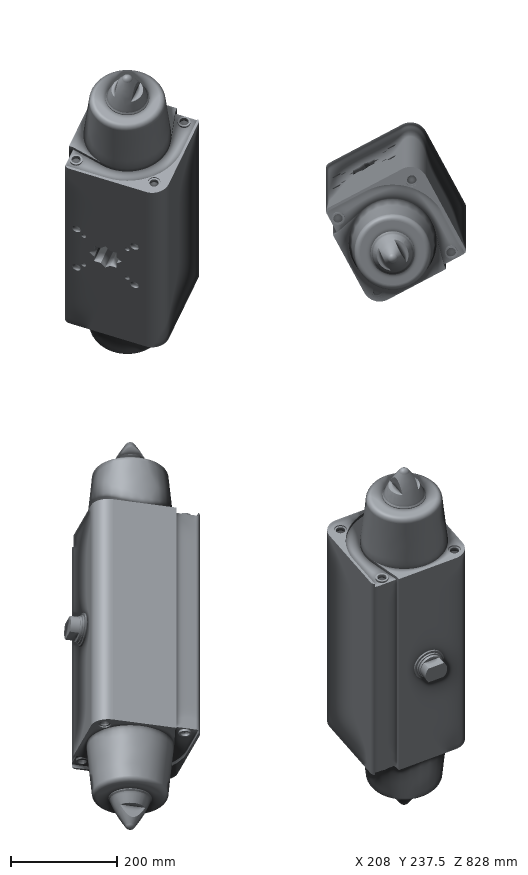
import cadquery as cq
import math


NEAR_SIDE = 93.0
FAR_SIDE = 115.0
HALF_LENGTH = 236.0
LARGE_CORNER = 33.0
SMALL_CORNER = 10.0
STEP_DEPTH = 8.0
STEP_START = 64.5
STEP_SIDE = NEAR_SIDE - STEP_DEPTH

RECESS_DEPTH = 7.0
RECESS_REACH = FAR_SIDE - 5.0

CAP_BASE_RADIUS = 83.0
CAP_TOP_RADIUS = 71.0
CAP_TOP = 349.0
CAP_ROUNDING = 11.0

TIP_END = 414.0
TIP_COLLAR_RADIUS = 41.0
TIP_COLLAR_HEIGHT = 4.0
TIP_COLLAR_CHAMFER = 2.5
TIP_BASE_RADIUS = TIP_COLLAR_RADIUS - TIP_COLLAR_CHAMFER
TIP_MID_RADIUS = 30.0
TIP_LEDGE = 373.5
TIP_DOME_RADIUS = 10.0
TIP_DOME_START = 407.0
TIP_FLAT_HALF_WIDTH = 17.0

SCREW_PITCH = 157.0
SCREW_CENTRE = 9.0
SCREW_HEAD_DIAMETER = 24.0
SCREW_HEAD_SINK = 2.5
SCREW_SOCKET_DIAMETER = 17.0
SCREW_SOCKET_DEPTH = 8.0

LARGE_FLANGE_HOLES = (166.0, 17.0, 25.0)
SMALL_FLANGE_HOLES = (124.0, 10.0, 16.5)
DRILL_POINT_ANGLE = 118

DRIVE_DIAMETER = 92.0
JOURNAL_DIAMETER = 64.0
SHOULDER_Y = 50.0
JOURNAL_END = 96.0
COLLAR_DIAMETER = 55.0
COLLAR_END = 99.0
NECK_DIAMETER = 50.0
NECK_END = 104.0
STUB_DIAMETER = 47.0
STUB_END = 122.5
STUB_FLAT_HALF_WIDTH = 17.0
SOCKET_WIDTH = 45.5
SOCKET_DEPTH = 66.0


def body_block():
    """Extruded block, symmetric about the diagonal plane Y = -X."""
    outline = (
        cq.Workplane("XY")
        .moveTo(-NEAR_SIDE, NEAR_SIDE)
        .lineTo(STEP_START, NEAR_SIDE)
        .lineTo(STEP_START, STEP_SIDE)
        .lineTo(FAR_SIDE, STEP_SIDE)
        .lineTo(FAR_SIDE, -FAR_SIDE)
        .lineTo(-STEP_SIDE, -FAR_SIDE)
        .lineTo(-STEP_SIDE, -STEP_START)
        .lineTo(-NEAR_SIDE, -STEP_START)
        .close()
    )
    block = outline.extrude(HALF_LENGTH, both=True)
    for x, y, radius in (
        (-NEAR_SIDE, NEAR_SIDE, LARGE_CORNER),
        (FAR_SIDE, -FAR_SIDE, LARGE_CORNER),
        (FAR_SIDE, STEP_SIDE, SMALL_CORNER),
        (-STEP_SIDE, -FAR_SIDE, SMALL_CORNER),
    ):
        block = block.edges(cq.selectors.NearestToPointSelector((x, y, 0))).fillet(radius)
    return block


def end_recess():
    """Recess of the +Z end, open to the two stepped sides and bounded inside by the cap seat."""
    floor = HALF_LENGTH - RECESS_DEPTH
    corner = RECESS_REACH * math.sqrt(0.5)
    pocket = (
        cq.Workplane("XY", origin=(0, 0, floor))
        .moveTo(-NEAR_SIDE, STEP_SIDE)
        .lineTo(RECESS_REACH, STEP_SIDE)
        .lineTo(RECESS_REACH, 0)
        .threePointArc((corner, -corner), (0, -RECESS_REACH))
        .lineTo(-NEAR_SIDE, -RECESS_REACH)
        .close()
        .extrude(RECESS_DEPTH)
    )
    step_distance = math.hypot(STEP_START, STEP_SIDE)
    tangent_angle = math.atan2(STEP_SIDE, STEP_START) - math.acos(CAP_BASE_RADIUS / step_distance)
    tangent_x = CAP_BASE_RADIUS * math.cos(tangent_angle)
    tangent_y = CAP_BASE_RADIUS * math.sin(tangent_angle)
    middle = CAP_BASE_RADIUS * math.sqrt(0.5)
    seat = (
        cq.Workplane("XY", origin=(0, 0, floor))
        .moveTo(-NEAR_SIDE, NEAR_SIDE)
        .lineTo(STEP_START, NEAR_SIDE)
        .lineTo(STEP_START, STEP_SIDE)
        .lineTo(tangent_x, tangent_y)
        .threePointArc((middle, -middle), (-tangent_y, -tangent_x))
        .lineTo(-STEP_SIDE, -STEP_START)
        .lineTo(-NEAR_SIDE, -STEP_START)
        .close()
        .extrude(RECESS_DEPTH)
    )
    return pocket.cut(seat)


def end_cap():
    """Tapered cap of the +Z end."""
    cap = (
        cq.Workplane("XZ")
        .lineTo(CAP_BASE_RADIUS, 0)
        .lineTo(CAP_BASE_RADIUS, HALF_LENGTH)
        .lineTo(CAP_TOP_RADIUS, CAP_TOP)
        .lineTo(0, CAP_TOP)
        .close()
        .revolve(360, (0, 0, 0), (0, 1, 0))
    )
    return cap.faces(">Z").edges().fillet(CAP_ROUNDING)


def tip():
    """Bullet-shaped tip of the +Z end, with two wrench flats."""
    dome_height = TIP_END - TIP_DOME_START
    dome_sphere = (TIP_DOME_RADIUS**2 + dome_height**2) / (2 * dome_height)
    dome_angle = math.asin(TIP_DOME_RADIUS / dome_sphere) / 2
    dome_mid = (
        dome_sphere * math.sin(dome_angle),
        TIP_END - dome_sphere * (1 - math.cos(dome_angle)),
    )
    bullet = (
        cq.Workplane("XZ")
        .moveTo(0, CAP_TOP)
        .lineTo(TIP_COLLAR_RADIUS, CAP_TOP)
        .lineTo(TIP_COLLAR_RADIUS, CAP_TOP + TIP_COLLAR_HEIGHT - TIP_COLLAR_CHAMFER)
        .lineTo(TIP_BASE_RADIUS, CAP_TOP + TIP_COLLAR_HEIGHT)
        .threePointArc((TIP_MID_RADIUS, TIP_LEDGE), (TIP_DOME_RADIUS, TIP_DOME_START))
        .threePointArc(dome_mid, (0, TIP_END))
        .close()
        .revolve(360, (0, 0, 0), (0, 1, 0))
    )
    flat_height = TIP_END - TIP_LEDGE
    cut_width = TIP_COLLAR_RADIUS
    for side in (-1, 1):
        flat_cut = cq.Workplane("XY").box(
            cut_width, 2 * TIP_COLLAR_RADIUS, flat_height, centered=(True, True, False)
        )
        offset = side * (TIP_FLAT_HALF_WIDTH + cut_width / 2)
        bullet = bullet.cut(flat_cut.translate((offset, 0, TIP_LEDGE)))
    return bullet


def screw_cylinders(diameter, bottom, top):
    """One cylinder at each cap screw of the +Z end."""
    return (
        cq.Workplane("XY", origin=(SCREW_CENTRE, -SCREW_CENTRE, bottom))
        .rarray(SCREW_PITCH, SCREW_PITCH, 2, 2)
        .circle(diameter / 2)
        .extrude(top - bottom)
    )


def flange_holes(bolt_circle, diameter, depth):
    """Four blind drilled holes with conical bottoms in the -Y face."""
    radius = diameter / 2
    point = radius / math.tan(math.radians(DRILL_POINT_ANGLE / 2))
    drill = (
        cq.Workplane("XY")
        .lineTo(radius, 0)
        .lineTo(radius, depth)
        .lineTo(0, depth + point)
        .close()
        .revolve(360, (0, 0, 0), (0, 1, 0))
    )
    offset = bolt_circle / 2 * math.sqrt(0.5)
    holes = cq.Workplane("XY")
    for x in (-offset, offset):
        for z in (-offset, offset):
            holes = holes.add(drill.translate((x, -FAR_SIDE, z)))
    return holes.combine()


def along_y(diameter, start, end):
    """Cylinder on the Y axis."""
    return cq.Workplane("XZ", origin=(0, start, 0)).circle(diameter / 2).extrude(start - end)


def make_housing():
    """Body block with both end caps, their tips and the cap screws, bored for the shaft."""
    recess_floor = HALF_LENGTH - RECESS_DEPTH
    head_top = HALF_LENGTH - SCREW_HEAD_SINK
    head_seats = screw_cylinders(SCREW_HEAD_DIAMETER, recess_floor, HALF_LENGTH)
    heads = screw_cylinders(SCREW_HEAD_DIAMETER, recess_floor, head_top)
    sockets = screw_cylinders(SCREW_SOCKET_DIAMETER, head_top - SCREW_SOCKET_DEPTH, head_top)

    housing = body_block()
    for end_cut in (end_recess(), head_seats):
        housing = housing.cut(end_cut).cut(end_cut.mirror("XY"))
    for end_part in (heads, end_cap().union(tip())):
        housing = housing.union(end_part).union(end_part.mirror("XY"))
    housing = housing.cut(sockets).cut(sockets.mirror("XY"))
    housing = housing.cut(flange_holes(*LARGE_FLANGE_HOLES)).cut(flange_holes(*SMALL_FLANGE_HOLES))
    housing = housing.cut(along_y(DRIVE_DIAMETER, -FAR_SIDE, SHOULDER_Y))
    return housing.cut(along_y(JOURNAL_DIAMETER, SHOULDER_Y, NEAR_SIDE))


def make_shaft():
    """Stepped shaft with an eight-pointed socket at -Y and a flatted stub at +Y."""
    shaft = (
        along_y(DRIVE_DIAMETER, -FAR_SIDE, SHOULDER_Y)
        .union(along_y(JOURNAL_DIAMETER, SHOULDER_Y, JOURNAL_END))
        .union(along_y(COLLAR_DIAMETER, JOURNAL_END, COLLAR_END))
        .union(along_y(NECK_DIAMETER, COLLAR_END, NECK_END))
    )
    flats = cq.Workplane("XY").box(STUB_DIAMETER, 2 * STUB_END, 2 * STUB_FLAT_HALF_WIDTH)
    shaft = shaft.union(along_y(STUB_DIAMETER, NECK_END, STUB_END).intersect(flats))
    for angle in (0, 45):
        socket = (
            cq.Workplane("XZ", origin=(0, -FAR_SIDE, 0))
            .transformed(rotate=(0, 0, angle))
            .rect(SOCKET_WIDTH, SOCKET_WIDTH)
            .extrude(-SOCKET_DEPTH)
        )
        shaft = shaft.cut(socket)
    return shaft


housing = make_housing()
shaft = make_shaft()

result = cq.Compound.makeCompound([housing.val(), shaft.val()])